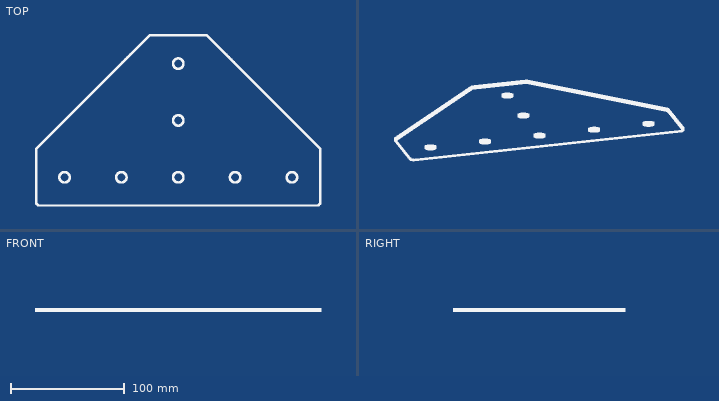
import cadquery as cq

hole_pitch = 50.0
hole_diameter = 9.0
thickness = 2.0
corner_chamfer = 2.0
row_hole_count = 5
stem_hole_count = 2

edge_margin = hole_pitch / 2
length = row_hole_count * hole_pitch
width = (stem_hole_count + 1) * hole_pitch
half_length = length / 2
half_top_edge = hole_pitch / 2
shoulder_height = hole_pitch


def plate():
    """T-shaped plate with sloping sides and small chamfers at the two base corners."""
    outline = [
        (-half_length, 0),
        (half_length, 0),
        (half_length, shoulder_height),
        (half_top_edge, width),
        (-half_top_edge, width),
        (-half_length, shoulder_height),
    ]
    blank = cq.Workplane("XY").polyline(outline).close().extrude(thickness)
    base_corners = blank.faces("<Y").edges("|Z")
    return base_corners.chamfer(corner_chamfer)


def hole_centers():
    """A row along the base and a column rising from its middle."""
    row = [
        (-half_length + edge_margin + i * hole_pitch, edge_margin)
        for i in range(row_hole_count)
    ]
    stem = [(0, edge_margin + (i + 1) * hole_pitch) for i in range(stem_hole_count)]
    return row + stem


holes = (
    cq.Workplane("XY")
    .pushPoints(hole_centers())
    .circle(hole_diameter / 2)
    .extrude(thickness)
)

result = plate().cut(holes)